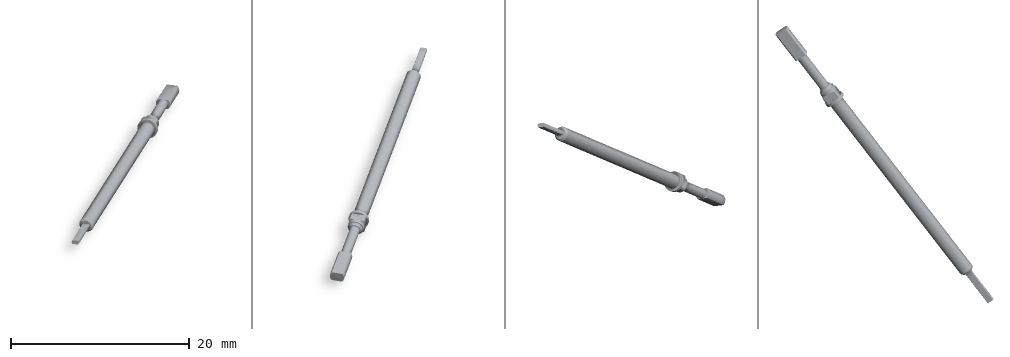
import cadquery as cq
import math

total_length = 40.2
head_end = 3.8
neck_end = 8.3
collar_shoulder = 8.65
square_start = 9.02
flange_start = 10.0
flange_end = 10.35
sleeve_start = 32.75
tube_end = 35.8

head_diameter = 1.65
neck_diameter = 1.13
head_thickness = neck_diameter
nose_tip_diameter = 1.35
nose_base_diameter = 1.6
collar_diameter = 1.82
flange_diameter = 2.3
square_width = 1.77
square_cone_angle = 30.0
tube_diameter = 1.65
tube_end_chamfer_depth = 0.2
tube_end_chamfer_length = 0.25
tail_diameter = 0.82
tail_thickness = 0.46

tip_y = flange_end


def rod(diameter, start, end):
    """Cylinder on the Y axis between two stations."""
    plane = cq.Workplane("XZ", origin=(0, tip_y - start, 0))
    return plane.circle(diameter / 2).extrude(end - start)


def slab(width, thickness, start, end):
    """Box centred on the Y axis between two stations."""
    plane = cq.Workplane("XZ", origin=(0, tip_y - start, 0))
    return plane.rect(width, thickness).extrude(end - start)


def cone(start_diameter, end_diameter, start, end):
    """Truncated cone on the Y axis between two stations."""
    profile = [
        (0, tip_y - start),
        (start_diameter / 2, tip_y - start),
        (end_diameter / 2, tip_y - end),
        (0, tip_y - end),
    ]
    return cq.Workplane("XY").polyline(profile).close().revolve(360, (0, 0, 0), (0, 1, 0))


def make_head():
    """Head with a flat on its top and bottom."""
    flats = slab(head_diameter, head_thickness, 0, head_end)
    return rod(head_diameter, 0, head_end).intersect(flats)


def make_collar():
    """Round collar with a tapered nose that widens into a square with cone-trimmed corners."""
    nose = cone(nose_tip_diameter, nose_base_diameter, neck_end, collar_shoulder)
    ring = rod(collar_diameter, collar_shoulder, square_start)
    cone_rise = (flange_diameter - collar_diameter) / 2
    cone_length = cone_rise * math.tan(math.radians(square_cone_angle))
    corner_start = square_start + cone_length
    envelope = cone(collar_diameter, flange_diameter, square_start, corner_start)
    envelope = envelope.union(rod(flange_diameter, corner_start, flange_start))
    square = slab(square_width, square_width, square_start, flange_start).intersect(envelope)
    return nose.union(ring).union(square)


def make_tube():
    """Long tube closed by a sleeve with a chamfered end."""
    tube = rod(tube_diameter, flange_end, sleeve_start)
    sleeve = rod(tube_diameter, sleeve_start, tube_end)
    sleeve = sleeve.faces("<Y").edges().chamfer(tube_end_chamfer_length, tube_end_chamfer_depth)
    return tube.union(sleeve, clean=False)


def make_tail():
    """Round pin flattened on its top and bottom."""
    pin = rod(tail_diameter, tube_end, total_length)
    return pin.intersect(slab(tail_diameter, tail_thickness, tube_end, total_length))


result = make_head()
result = result.union(rod(neck_diameter, head_end, neck_end))
result = result.union(make_collar())
result = result.union(rod(flange_diameter, flange_start, flange_end))
result = result.union(make_tube(), clean=False)
result = result.union(make_tail(), clean=False)